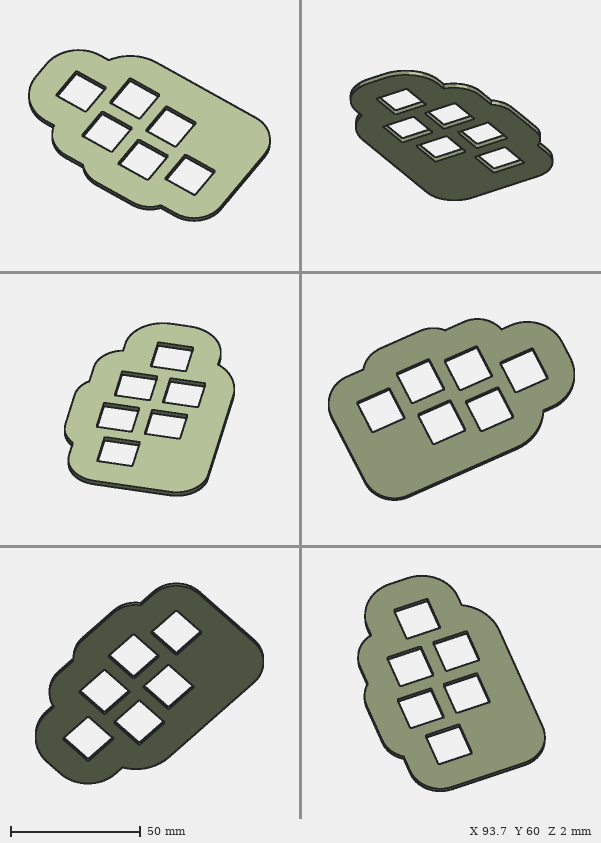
import cadquery as cq
import math

length = 93.7
width = 60.0
thickness = 2.0

corner_radius = 12.0
left_radius = 15.0
right_radius = 12.5
shoulder_radius = 18.0

left_lobe_bottom = 13.0
left_lobe_top = 50.5
lower_edge = 3.9
right_edge_bottom = 5.1

neck_x = 18.8
lower_arc_end_x = 30.5
bump_left_x = 47.5
bump_right_x = 64.5

key_size = 14.0
key_pitch = 19.0
key_corner_radius = 0.5
first_key_x = 18.4
key_columns = [(32.2, 1), (22.1, 2), (19.0, 2), (23.3, 1)]


def half_chord(radius, depth):
    """Horizontal run of an arc from its horizontal tangent to the given depth."""
    return math.sqrt(radius**2 - (radius - depth) ** 2)


def plate():
    """Flat plate with a lobed outline, drawn clockwise from the left edge."""
    shoulder_x = neck_x + half_chord(shoulder_radius, width - left_lobe_top)
    bump_start_x = bump_left_x - half_chord(corner_radius, lower_edge)
    bump_end_x = bump_right_x + half_chord(corner_radius, right_edge_bottom)
    return (
        cq.Workplane("XY")
        .moveTo(0, left_lobe_bottom + left_radius)
        .lineTo(0, left_lobe_top - left_radius)
        .radiusArc((left_radius, left_lobe_top), left_radius)
        .lineTo(neck_x, left_lobe_top)
        .radiusArc((shoulder_x, width), shoulder_radius)
        .lineTo(length - right_radius, width)
        .radiusArc((length, width - right_radius), right_radius)
        .lineTo(length, right_edge_bottom + right_radius)
        .radiusArc((length - right_radius, right_edge_bottom), right_radius)
        .lineTo(bump_end_x, right_edge_bottom)
        .radiusArc((bump_right_x, 0), corner_radius)
        .lineTo(bump_left_x, 0)
        .radiusArc((bump_start_x, lower_edge), corner_radius)
        .lineTo(lower_arc_end_x, lower_edge)
        .radiusArc((neck_x, left_lobe_bottom), corner_radius)
        .lineTo(left_radius, left_lobe_bottom)
        .radiusArc((0, left_lobe_bottom + left_radius), left_radius)
        .close()
        .extrude(thickness)
    )


def key_cutouts():
    """Rounded square prisms at every key, as tall as the plate."""
    centers = [
        (first_key_x + column * key_pitch, lowest_y + row * key_pitch)
        for column, (lowest_y, key_count) in enumerate(key_columns)
        for row in range(key_count)
    ]
    return (
        cq.Workplane("XY")
        .pushPoints(centers)
        .rect(key_size, key_size)
        .extrude(thickness)
        .edges("|Z")
        .fillet(key_corner_radius)
    )


result = plate().cut(key_cutouts())